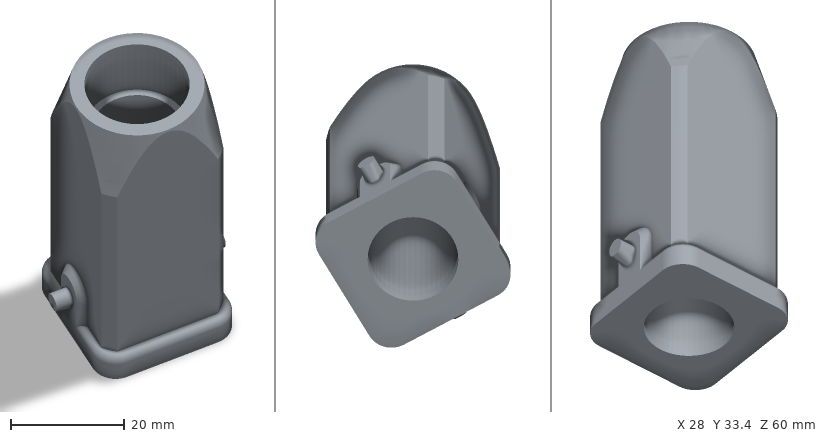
import cadquery as cq
import math

HEIGHT = 60.0

BASE_X = 28.0
BASE_Y = 27.0
BASE_TOP = 5.3
BASE_CORNER_RADIUS = 4.5
BASE_EDGE_RADIUS = 1.4

BODY_WIDTH = 24.1
CORNER_FLAT_HALF = 9.95
CONE_START = 47.05
TOP_RADIUS = 11.95
CORNER_RADIUS = math.hypot(BODY_WIDTH / 2, CORNER_FLAT_HALF)

BORE_DIAMETER = 16.0
COUNTERBORE_DIAMETER = 18.6
COUNTERBORE_DEPTH = 12.25

SCREW_HOLE_Z = 14.45
SCREW_HOLE_DIAMETER = 3.0
COUNTERSINK_DIAMETER = 5.8
COUNTERSINK_DEPTH = (COUNTERSINK_DIAMETER - SCREW_HOLE_DIAMETER) / 2

PAD_ARCH_Z = 11.35
PAD_DEPTH = (BASE_Y - BODY_WIDTH) / 2
PAD_FACE_RADIUS = 3.05
PAD_FOOT_RADIUS = PAD_FACE_RADIUS + PAD_DEPTH

PIN_SPAN = 33.4
PIN_DIAMETER = 3.3
PIN_Z = 9.7
PIN_LENGTH = (PIN_SPAN - BASE_Y) / 2
RIB_ANGLE = math.radians(20)
RIB_ROOT_Z = 6.95
RIB_EDGE_RADIUS = 0.95
RIB_TIP_Z = PIN_Z - PIN_DIAMETER / 2


def make_base():
    base = cq.Workplane("XY").rect(BASE_X, BASE_Y).extrude(BASE_TOP)
    base = base.edges("|Z").fillet(BASE_CORNER_RADIUS)
    return base.faces(">Z").edges().fillet(BASE_EDGE_RADIUS)


def make_body():
    square = cq.Workplane("XY").rect(BODY_WIDTH, BODY_WIDTH).extrude(HEIGHT)
    turned = (
        cq.Workplane("XZ")
        .polyline([
            (0, 0),
            (CORNER_RADIUS, 0),
            (CORNER_RADIUS, CONE_START),
            (TOP_RADIUS, HEIGHT),
            (0, HEIGHT),
        ])
        .close()
        .revolve(360, (0, 0), (0, 1))
    )
    return square.intersect(turned)


def pad_outline(plane, radius):
    return (
        plane.moveTo(-radius, 0)
        .lineTo(-radius, PAD_ARCH_Z)
        .threePointArc((0, PAD_ARCH_Z + radius), (radius, PAD_ARCH_Z))
        .lineTo(radius, 0)
        .close()
    )


def make_pad():
    """Pad on the -Y wall, its sides sloping at 45 degrees out to its face."""
    foot = pad_outline(cq.Workplane("XZ", origin=(0, -BODY_WIDTH / 2, 0)), PAD_FOOT_RADIUS)
    face_plane = foot.workplane(offset=PAD_DEPTH)
    return pad_outline(face_plane, PAD_FACE_RADIUS).loft(ruled=True)


def make_pin():
    """Pin pointing to -Y, standing on the pad face."""
    radius = PIN_DIAMETER / 2
    root = cq.Workplane("XZ", origin=(0, -BASE_Y / 2, 0))
    pin = root.center(0, PIN_Z).circle(radius).extrude(PIN_LENGTH)

    tangent_x = radius * math.cos(RIB_ANGLE)
    tangent_z = PIN_Z - radius * math.sin(RIB_ANGLE)
    bottom_x = tangent_x - (tangent_z - RIB_ROOT_Z) * math.tan(RIB_ANGLE)
    rib = (
        root.polyline([
            (-tangent_x, tangent_z),
            (tangent_x, tangent_z),
            (bottom_x, RIB_ROOT_Z),
            (-bottom_x, RIB_ROOT_Z),
        ])
        .close()
        .extrude(PIN_LENGTH)
    )
    slope = (
        cq.Workplane("YZ")
        .polyline([
            (-BASE_Y / 2, PIN_Z),
            (-BASE_Y / 2, RIB_ROOT_Z),
            (-PIN_SPAN / 2, RIB_TIP_Z),
            (-PIN_SPAN / 2, PIN_Z),
        ])
        .close()
        .extrude(radius, both=True)
    )
    rib = rib.intersect(slope)
    underside_edges = rib.faces("<Z").edges("not |X")
    return pin.union(underside_edges.fillet(RIB_EDGE_RADIUS))


def make_bore():
    bore = cq.Workplane("XY").circle(BORE_DIAMETER / 2).extrude(HEIGHT)
    counterbore = (
        cq.Workplane("XY", origin=(0, 0, HEIGHT - COUNTERBORE_DEPTH))
        .circle(COUNTERBORE_DIAMETER / 2)
        .extrude(COUNTERBORE_DEPTH)
    )
    return bore.union(counterbore)


def make_screw_hole():
    """Countersunk hole running from the -X face into the bore."""
    return (
        cq.Workplane("XZ", origin=(0, 0, SCREW_HOLE_Z))
        .polyline([
            (-BODY_WIDTH / 2, 0),
            (-BODY_WIDTH / 2, COUNTERSINK_DIAMETER / 2),
            (-BODY_WIDTH / 2 + COUNTERSINK_DEPTH, SCREW_HOLE_DIAMETER / 2),
            (0, SCREW_HOLE_DIAMETER / 2),
            (0, 0),
        ])
        .close()
        .revolve(360, (0, 0), (1, 0))
    )


result = make_base().union(make_body())
for feature in (make_pad(), make_pin()):
    result = result.union(feature).union(feature.mirror("XZ"))
result = result.cut(make_bore()).cut(make_screw_hole())